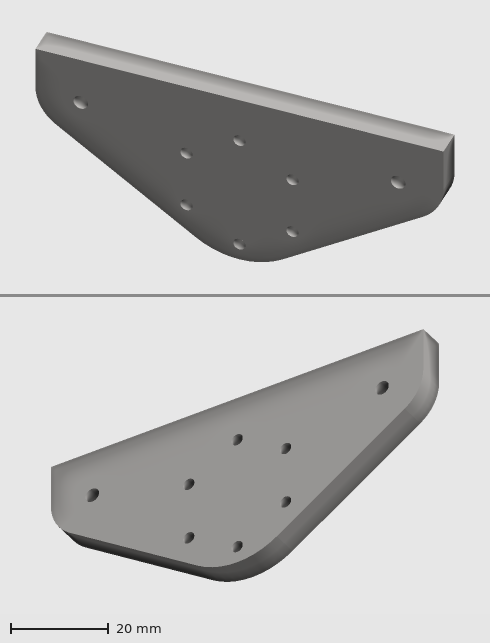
import cadquery as cq
import math

width = 90.0
thickness = 6.0
height = 41.5

corner_radius = 10.0
corner_depth = 10.0
corner_x = width / 2 - corner_radius

ring_depth = 24.0
ring_radius = 13.5
ring_hole_diameter = 2.7
ring_hole_count = 6
bottom_radius = height - ring_depth

mount_hole_x = 35.0
mount_hole_depth = 11.0
mount_hole_diameter = 3.2

center_distance = math.hypot(corner_x, ring_depth - corner_depth)
slope_angle = math.atan2(ring_depth - corner_depth, corner_x) + math.asin(
    (bottom_radius - corner_radius) / center_distance
)


def arc_point(center_x, depth, radius, angle):
    """Point on an arc, with the angle measured from straight down towards +X."""
    return (center_x + radius * math.sin(angle), -depth - radius * math.cos(angle))


def mirrored(point):
    return (-point[0], point[1])


corner_middle_angle = (slope_angle + math.pi / 2) / 2
corner_start = (width / 2, -corner_depth)
corner_middle = arc_point(corner_x, corner_depth, corner_radius, corner_middle_angle)
corner_end = arc_point(corner_x, corner_depth, corner_radius, slope_angle)
bottom_start = arc_point(0, ring_depth, bottom_radius, slope_angle)

plate = (
    cq.Workplane("XZ")
    .moveTo(-width / 2, 0)
    .lineTo(width / 2, 0)
    .lineTo(*corner_start)
    .threePointArc(corner_middle, corner_end)
    .lineTo(*bottom_start)
    .threePointArc((0, -height), mirrored(bottom_start))
    .lineTo(*mirrored(corner_end))
    .threePointArc(mirrored(corner_middle), mirrored(corner_start))
    .close()
    .extrude(thickness / 2, both=True)
)


def through_holes(points, diameter):
    return (
        cq.Workplane("XZ")
        .pushPoints(points)
        .circle(diameter / 2)
        .extrude(thickness, both=True)
    )


ring_points = [
    arc_point(0, ring_depth, ring_radius, i * 2 * math.pi / ring_hole_count)
    for i in range(ring_hole_count)
]
mount_points = [(side * mount_hole_x, -mount_hole_depth) for side in (-1, 1)]

result = plate.cut(through_holes(ring_points, ring_hole_diameter))
result = result.cut(through_holes(mount_points, mount_hole_diameter))